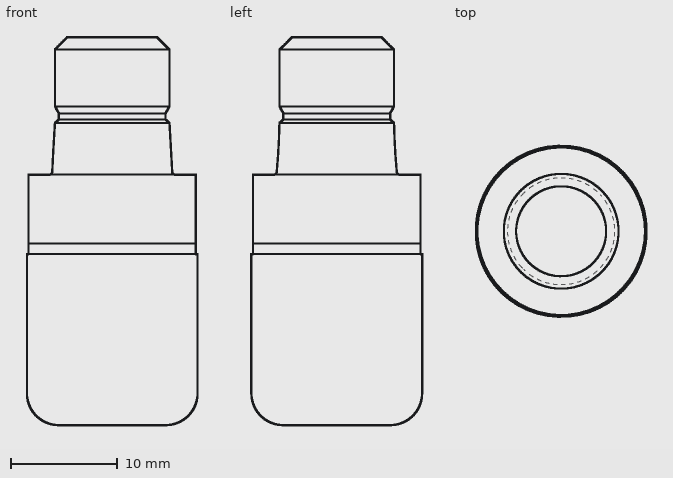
import cadquery as cq

total_height = 36.3
bottom_rounding = 3.0
lip_height = 16.0
joint_height = 17.0
shoulder_height = 23.45
groove_bottom = 28.28
groove_floor_start = 28.6
groove_floor_end = 29.2
groove_top = 29.85

cap_diameter = 16.0
cap_radius = cap_diameter / 2
collar_radius = 7.85
stem_foot_radius = 5.63
stem_radius = 5.37
groove_radius = 5.0

top_chamfer = 1.15
foot_fillet = 0.3


def make_cap():
    """Round-bottomed lower cap with a short spigot flush with the collar above."""
    barrel = cq.Workplane("XY").circle(cap_radius).extrude(lip_height)
    barrel = barrel.faces("<Z").edges().fillet(bottom_rounding)
    spigot = (
        cq.Workplane("XY", origin=(0, 0, lip_height))
        .circle(collar_radius)
        .extrude(joint_height - lip_height)
    )
    return barrel.union(spigot)


def make_stem():
    """Collar carrying a tapered, grooved stem with a chamfered tip."""
    return (
        cq.Workplane("XZ")
        .moveTo(0, joint_height)
        .lineTo(collar_radius, joint_height)
        .lineTo(collar_radius, shoulder_height)
        .lineTo(stem_foot_radius + foot_fillet, shoulder_height)
        .radiusArc((stem_foot_radius, shoulder_height + foot_fillet), foot_fillet)
        .lineTo(stem_radius, groove_bottom)
        .lineTo(groove_radius, groove_floor_start)
        .lineTo(groove_radius, groove_floor_end)
        .lineTo(stem_radius, groove_top)
        .lineTo(stem_radius, total_height - top_chamfer)
        .lineTo(stem_radius - top_chamfer, total_height)
        .lineTo(0, total_height)
        .close()
        .revolve(360, (0, 0), (0, 1))
    )


cap = make_cap()
stem = make_stem()

result = cq.Compound.makeCompound([cap.val(), stem.val()])